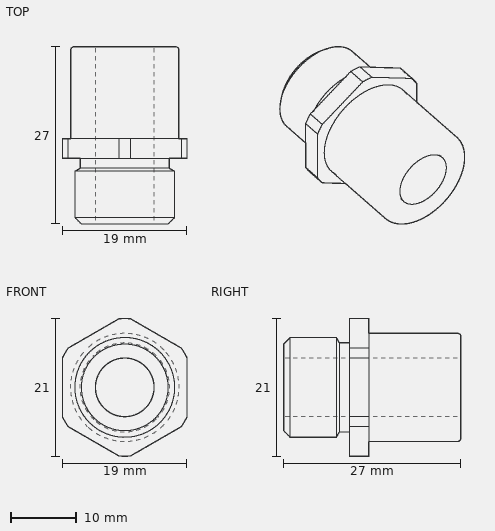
import cadquery as cq
import math

relief_start = 8.5
hex_start = 10.0
hex_end = 13.0
total_length = 27.0

bore_diameter = 8.9
thread_diameter = 15.2
relief_diameter = 13.6
sleeve_diameter = 16.5

hex_sides = 6
hex_across_flats = 19.0
hex_corner_diameter = 21.0

thread_lead_chamfer = 1.0
runout_angle = 30.0
sleeve_end_fillet = 0.5


def cylinder(diameter, start, end):
    """Cylinder about the Y axis between two stations."""
    face = cq.Workplane("XZ", origin=(0, start, 0)).circle(diameter / 2)
    return face.extrude(start - end)


def threaded_end():
    """Turned profile of the threaded spigot and its relief groove."""
    thread_radius = thread_diameter / 2
    relief_radius = relief_diameter / 2
    runout_length = (thread_radius - relief_radius) * math.tan(math.radians(runout_angle))
    return (
        cq.Workplane("XY")
        .moveTo(0, 0)
        .lineTo(thread_radius - thread_lead_chamfer, 0)
        .lineTo(thread_radius, thread_lead_chamfer)
        .lineTo(thread_radius, relief_start - runout_length)
        .lineTo(relief_radius, relief_start)
        .lineTo(relief_radius, hex_start)
        .lineTo(0, hex_start)
        .close()
        .revolve(360, (0, 0, 0), (0, 1, 0))
    )


def hex_collar():
    """Hexagon with flats facing +X and -X and rounded-off corners."""
    across_corners = hex_across_flats / math.cos(math.pi / hex_sides)
    hexagon = (
        cq.Workplane("XZ", origin=(0, hex_start, 0))
        .transformed(rotate=(0, 0, 90))
        .polygon(hex_sides, across_corners)
        .extrude(hex_start - hex_end)
    )
    return hexagon.intersect(cylinder(hex_corner_diameter, hex_start, hex_end))


def sleeve():
    """Plain sleeve behind the collar, rounded at its free end."""
    body = cylinder(sleeve_diameter, hex_end, total_length)
    return body.faces(">Y").edges().fillet(sleeve_end_fillet)


outer_body = threaded_end().union(hex_collar()).union(sleeve())
result = outer_body.cut(cylinder(bore_diameter, 0, total_length))